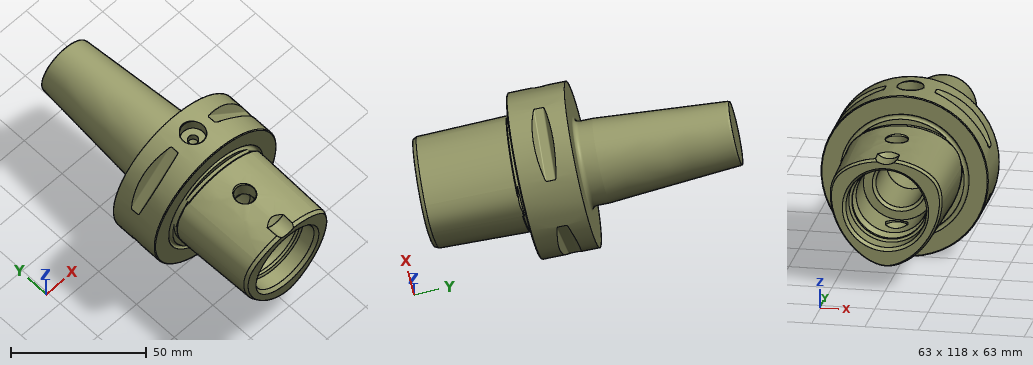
import cadquery as cq
import math


nose_length = 80.0
nose_tip_radius = 12.0
nose_taper_start_radius = 12.2
nose_tip_chamfer_length = 0.8
nose_root_radius = 16.0
nose_root_end = 29.3
nose_root_fillet = 2.0
flange_radius = 31.5
flange_length = 22.0
flange_chamfer = 0.35

groove_outer_radius = 24.3
groove_inner_radius = 22.5
land_height = 0.35

shank_length = 38.0
shank_mean_radius = 22.0
lobe_height = 1.4
taper_per_side = 1 / 40
corner_half_angle = 26.0
points_per_arc = 9
neck_length = 2.2
neck_flare_start = 1.4
neck_step_start = 1.9
neck_undercut = 0.1
shank_chamfer_length = 1.5
shank_chamfer_width = 0.75

bore_mouth_radius = 16.25
bore_entry_radius = 15.2
bore_mouth_chamfer = 1.5
bore_entry_depth = 7.4
lip_radius = 14.2
lip_start_depth = 8.0
lip_end_depth = 9.2
undercut_radius = 15.4
undercut_fillet = 3.2
undercut_fillet_start = 9.95
undercut_cone_angle = 34.0
deep_bore_radius = 13.6
deep_bore_depth = 28.0
thread_radius = 9.1
thread_mouth_radius = 10.25
thread_depth = 50.0
drill_half_angle = 59.0

mid_flange = 12.0
chip_radius = 5.0
chip_mouth_radius = 5.2
chip_mouth_height = 31.4
chip_depth = 5.0
chip_pilot_radius = 2.05
chip_pilot_depth = 3.0
cross_hole_radius = 4.2
cross_hole_position = 15.5
cross_hole_bottom = -14.0
cross_hole_mouth_radius = 4.5
cross_hole_mouth_height = 20.1
notch_radius = 6.0
notch_floor = 17.9
notch_length = 6.5
gripper_floor_distance = 27.95
gripper_floor_width = 3.8
gripper_floor_fillet = 0.7
gripper_flank_angle = 27.0


def lobe_point(mean_radius, normal_angle):
    """Point of the three-lobed outline whose outward normal has the given angle in degrees."""
    a = math.radians(normal_angle)
    reach = mean_radius + lobe_height * math.sin(3 * a)
    slide = 3 * lobe_height * math.cos(3 * a)
    return (reach * math.cos(a) - slide * math.sin(a), reach * math.sin(a) + slide * math.cos(a))


def lobe_outline(plane, mean_radius):
    """Closed three-lobed outline: a tight corner arc and a wide flank arc, three times."""
    breaks = []
    for corner in (30, 150, 270):
        breaks += [corner - corner_half_angle, corner + corner_half_angle]
    outline = plane.moveTo(*lobe_point(mean_radius, breaks[0]))
    for start, end in zip(breaks, breaks[1:] + [breaks[0] + 360]):
        angles = [start + (end - start) * i / (points_per_arc - 1) for i in range(points_per_arc)]
        ends = [(-math.sin(math.radians(a)), math.cos(math.radians(a))) for a in (start, end)]
        points = [lobe_point(mean_radius, a) for a in angles]
        outline = outline.spline(points[1:], tangents=ends, includeCurrent=True)
    return outline.close()


def lobe_solid(y_start, radius_start, y_end, radius_end):
    """Tapering three-lobed solid between two axial positions."""
    start = lobe_outline(cq.Workplane("XZ", origin=(0, y_start, 0)), radius_start)
    return lobe_outline(start.workplane(offset=y_start - y_end), radius_end).loft(ruled=True, combine=True)


def turned(outline):
    """Close an outline that starts and ends on the Y axis and revolve it about that axis."""
    return outline.close().revolve(360, (0, 0, 0), (0, 1, 0))


def flange_and_nose():
    """Flange with its grooved face, and the tapered nose behind it."""
    groove_middle = (groove_outer_radius + groove_inner_radius) / 2
    groove_depth = (groove_outer_radius - groove_inner_radius) / 2
    fillet_inset = nose_root_fillet * (1 - math.sqrt(0.5))
    return turned(
        cq.Workplane("XY")
        .moveTo(0, -land_height)
        .lineTo(groove_inner_radius, -land_height)
        .lineTo(groove_inner_radius, 0)
        .threePointArc((groove_middle, groove_depth), (groove_outer_radius, 0))
        .lineTo(flange_radius - flange_chamfer, 0)
        .lineTo(flange_radius, flange_chamfer)
        .lineTo(flange_radius, flange_length)
        .lineTo(nose_root_radius + nose_root_fillet, flange_length)
        .threePointArc(
            (nose_root_radius + fillet_inset, flange_length + fillet_inset),
            (nose_root_radius, flange_length + nose_root_fillet),
        )
        .lineTo(nose_root_radius, nose_root_end)
        .lineTo(nose_taper_start_radius, nose_length - nose_tip_chamfer_length)
        .lineTo(nose_tip_radius, nose_length)
        .lineTo(0, nose_length)
    )


def shank():
    """Neck, tapered three-lobed body and end chamfer."""
    taper_radius = shank_mean_radius - taper_per_side * neck_length
    neck_radius = taper_radius - neck_undercut
    chamfer_start = shank_length - shank_chamfer_length
    chamfer_radius = shank_mean_radius - taper_per_side * chamfer_start
    end_radius = chamfer_radius - shank_chamfer_width
    corner_radius = shank_mean_radius + lobe_height
    neck_limit = turned(
        cq.Workplane("XY")
        .lineTo(groove_inner_radius, 0)
        .lineTo(groove_inner_radius, -neck_flare_start)
        .lineTo(corner_radius, -neck_length)
        .lineTo(0, -neck_length)
    )
    neck_core = lobe_outline(cq.Workplane("XZ"), neck_radius).extrude(neck_step_start)
    neck_step = lobe_solid(-neck_step_start, neck_radius, -neck_length, taper_radius)
    neck = neck_core.union(neck_step).intersect(neck_limit)
    taper = lobe_solid(-neck_length, taper_radius, -chamfer_start, chamfer_radius)
    chamfer = lobe_solid(-chamfer_start, chamfer_radius, -shank_length, end_radius)
    return neck.union(taper).union(chamfer)


def drill_point_length(radius):
    """Length of the conical tip left by a drill of the given radius."""
    return radius / math.tan(math.radians(drill_half_angle))


def bore_point(radius, depth):
    """Point of the bore outline, with the depth measured from the shank end."""
    return (radius, depth - shank_length)


def bore():
    """Stepped bore, undercut behind a lip, ending in the thread core hole."""
    thread_chamfer = thread_mouth_radius - thread_radius
    cone = math.radians(undercut_cone_angle)
    fillet_middle = bore_point(
        undercut_radius - undercut_fillet * (1 - math.cos(cone / 2)),
        undercut_fillet_start + undercut_fillet * math.sin(cone / 2),
    )
    cone_radius = undercut_radius - undercut_fillet * (1 - math.cos(cone))
    cone_start = undercut_fillet_start + undercut_fillet * math.sin(cone)
    cone_end = cone_start + (cone_radius - deep_bore_radius) / math.tan(cone)
    return turned(
        cq.Workplane("XY")
        .moveTo(*bore_point(0, 0))
        .lineTo(*bore_point(bore_mouth_radius, 0))
        .lineTo(*bore_point(bore_entry_radius, bore_mouth_chamfer))
        .lineTo(*bore_point(bore_entry_radius, bore_entry_depth))
        .lineTo(*bore_point(lip_radius, lip_start_depth))
        .lineTo(*bore_point(lip_radius, lip_end_depth))
        .lineTo(*bore_point(undercut_radius, lip_end_depth))
        .lineTo(*bore_point(undercut_radius, undercut_fillet_start))
        .threePointArc(fillet_middle, bore_point(cone_radius, cone_start))
        .lineTo(*bore_point(deep_bore_radius, cone_end))
        .lineTo(*bore_point(deep_bore_radius, deep_bore_depth))
        .lineTo(*bore_point(thread_mouth_radius, deep_bore_depth))
        .lineTo(*bore_point(thread_radius, deep_bore_depth + thread_chamfer))
        .lineTo(*bore_point(thread_radius, thread_depth))
        .lineTo(*bore_point(0, thread_depth + drill_point_length(thread_radius)))
    )


def drilled_from_top(y, radius, z_bottom):
    """Blind hole along -Z with a conical bottom below z_bottom."""
    profile = (
        cq.Workplane("XZ", origin=(0, y, 0))
        .moveTo(0, flange_radius)
        .lineTo(radius, flange_radius)
        .lineTo(radius, z_bottom)
        .lineTo(0, z_bottom - drill_point_length(radius))
        .close()
    )
    return profile.revolve(360, (0, 0, 0), (0, 1, 0))


def countersink(y, radius, mouth_radius, mouth_height, top):
    """45 degree cone around a vertical hole, of mouth_radius at mouth_height, widening up to top."""
    bottom = mouth_height - (mouth_radius - radius)
    height = top - bottom
    cone = cq.Solid.makeCone(radius, radius + height, height, cq.Vector(0, y, bottom), cq.Vector(0, 0, 1))
    return cq.Workplane(obj=cone)


def chip_pocket():
    """Flat-bottomed pocket for a data chip with a small pilot hole in its floor."""
    floor = flange_radius - chip_depth
    pocket = cq.Workplane("XY", origin=(0, mid_flange, floor)).circle(chip_radius).extrude(chip_depth)
    pilot = drilled_from_top(mid_flange, chip_pilot_radius, floor - chip_pilot_depth)
    sink = countersink(mid_flange, chip_radius, chip_mouth_radius, chip_mouth_height, flange_radius)
    return pocket.union(pilot).union(sink)


def cross_hole():
    """Hole through the upper bore wall into the lower one."""
    hole = drilled_from_top(-cross_hole_position, cross_hole_radius, cross_hole_bottom)
    sink = countersink(
        -cross_hole_position,
        cross_hole_radius,
        cross_hole_mouth_radius,
        cross_hole_mouth_height,
        shank_mean_radius,
    )
    return hole.union(sink)


def end_notch():
    """Round-bottomed keyway along Y with a 45 degree conical run-out."""
    axis_height = notch_floor + notch_radius
    profile = (
        cq.Workplane("XY", origin=(0, 0, axis_height))
        .moveTo(0, -shank_length)
        .lineTo(notch_radius, -shank_length)
        .lineTo(notch_radius, notch_length - shank_length)
        .lineTo(0, notch_length - shank_length + notch_radius)
        .close()
    )
    return profile.revolve(360, (0, 0, 0), (0, 1, 0))


def gripper_slot(angle):
    """V-flanked flat across the flange rim, turned about Y to the given angle."""
    depth = flange_radius - gripper_floor_distance
    half_floor = gripper_floor_width / 2
    half_mouth = half_floor + depth * math.tan(math.radians(gripper_flank_angle))
    return (
        cq.Workplane("YZ")
        .polyline([
            (mid_flange - half_floor, gripper_floor_distance),
            (mid_flange + half_floor, gripper_floor_distance),
            (mid_flange + half_mouth, flange_radius),
            (mid_flange - half_mouth, flange_radius),
        ])
        .close()
        .extrude(flange_radius, both=True)
        .edges("|X and <Z")
        .fillet(gripper_floor_fillet)
        .rotate((0, 0, 0), (0, 1, 0), angle)
    )


result = flange_and_nose().union(shank()).cut(bore())
result = result.cut(chip_pocket())
result = result.cut(cross_hole())
result = result.cut(end_notch())
for slot_angle in (45, 135, 225, 315):
    result = result.cut(gripper_slot(slot_angle))